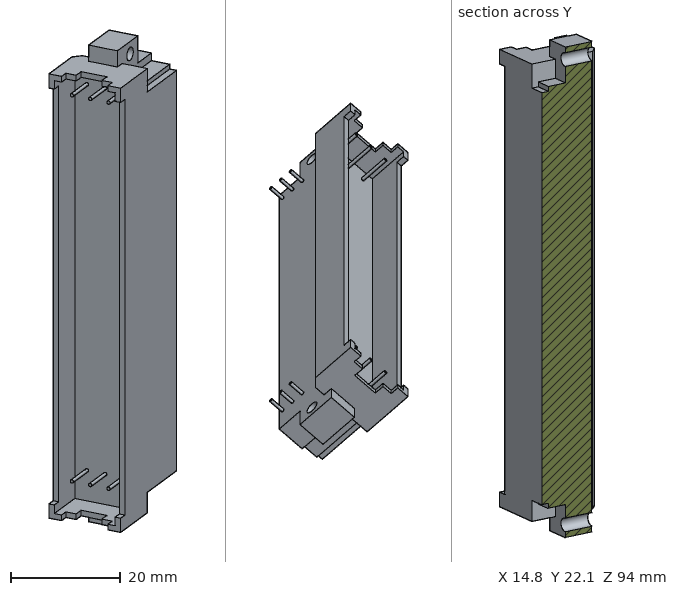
import cadquery as cq

width = 14.8
total_length = 94.0
ear_projection = 3.2
shroud_depth = 10.5
wall = 1.1
cavity_depth = 8.1
rear_chamfer = 1.4
shroud_length = total_length - 2 * ear_projection

tab_height = 2.8
tab_width = 2.6
tab_depth = 1.7
key_width = 5.3
key_depth = 3.7

total_depth = 22.1
housing_x = 3.7
ear_thickness = 5.9
ear_front = 8.65
ear_back = 16.7
housing_bottom = 4.8
housing_top = 88.6
housing_length = housing_top - housing_bottom
rear_block_x = housing_x + ear_thickness
rear_block_length = 80.8
cover_thickness = 1.4
cover_length = 79.0
hole_diameter = 2.5
hole_y = 13.6
hole_end_distance = 2.4

pin_diameter = 0.7
pin_end_distance = 7.5
pin_level_spacing = 76.1
contact_pitch = 3.8
contact_tip_y = 2.2
tail_pitch = 2.5
tail_last_y = 21.15
tail_length = 3.1
pin_embed = 0.9
pin_count = 3

center_x = width / 2
center_z = total_length / 2
housing_center_z = (housing_bottom + housing_top) / 2
upper_pin_z = total_length - pin_end_distance
pin_levels = (upper_pin_z - pin_level_spacing, upper_pin_z)


def centered_block(x_start, x_end, y_start, y_end, length):
    """Block spanning the given X and Y ranges, centered along the overall Z length."""
    return (
        cq.Workplane("XY")
        .box(x_end - x_start, y_end - y_start, length, centered=(False, False, True))
        .translate((x_start, y_start, center_z))
    )


def cylinder(start, direction, diameter, length):
    solid = cq.Solid.makeCylinder(diameter / 2, length, cq.Vector(*start), cq.Vector(*direction))
    return cq.Workplane(solid)


def make_shroud():
    shroud = centered_block(0, width, 0, shroud_depth, shroud_length)
    shroud = shroud.edges("<X and >Y").chamfer(rear_chamfer)
    cavity = centered_block(wall, width - wall, 0, cavity_depth, shroud_length - 2 * wall)
    side_relief = centered_block(0, width, 0, tab_depth, shroud_length - 2 * tab_height)
    end_relief = centered_block(tab_width, width - tab_width, 0, tab_depth, shroud_length)
    key_slot = centered_block(
        center_x - key_width / 2, center_x + key_width / 2, 0, key_depth, shroud_length
    )
    return shroud.cut(cavity).cut(side_relief).cut(end_relief).cut(key_slot)


def make_rear_housing():
    main_block = centered_block(housing_x, rear_block_x, shroud_depth, total_depth, housing_length)
    inner_block = centered_block(
        rear_block_x, width - cover_thickness, shroud_depth, total_depth, rear_block_length
    )
    cover = centered_block(width - cover_thickness, width, shroud_depth, total_depth, cover_length)
    housing = main_block.union(inner_block).union(cover)
    return housing.translate((0, 0, housing_center_z - center_z))


def make_ears():
    ears = centered_block(housing_x, rear_block_x, ear_front, ear_back, total_length)
    for z in (hole_end_distance, total_length - hole_end_distance):
        ears = ears.cut(cylinder((housing_x, hole_y, z), (1, 0, 0), hole_diameter, ear_thickness))
    return ears


result = make_shroud().union(make_rear_housing()).union(make_ears())

for pin_z in pin_levels:
    for index in range(pin_count):
        contact_x = center_x + (index - 1) * contact_pitch
        contact_length = cavity_depth + pin_embed - contact_tip_y
        contact_start = (contact_x, contact_tip_y, pin_z)
        result = result.union(cylinder(contact_start, (0, 1, 0), pin_diameter, contact_length))

        tail_y = tail_last_y - index * tail_pitch
        tail_start = (housing_x - tail_length, tail_y, pin_z)
        result = result.union(cylinder(tail_start, (1, 0, 0), pin_diameter, tail_length + pin_embed))